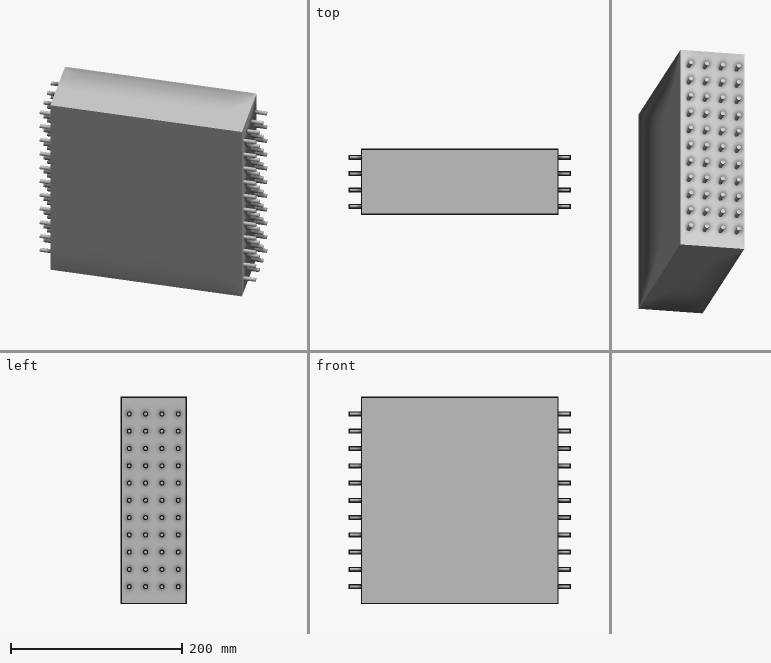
import cadquery as cq

overall_length = 258.5
body_width = 76.3
body_height = 241.3

pin_diameter = 4.7
pin_projection = 14.5
pin_columns = 4
pin_rows = 11
column_pitch = body_width / pin_columns
row_pitch = 20.2

body_length = overall_length - 2 * pin_projection


def make_body():
    """Plain rectangular block centred on the origin."""
    return cq.Workplane("XY").box(body_length, body_width, body_height)


def make_pins():
    """Grid of straight pins that pass through the whole block along X."""
    return (
        cq.Workplane("YZ")
        .rarray(column_pitch, row_pitch, pin_columns, pin_rows)
        .circle(pin_diameter / 2)
        .extrude(overall_length / 2, both=True)
    )


result = make_body().union(make_pins())